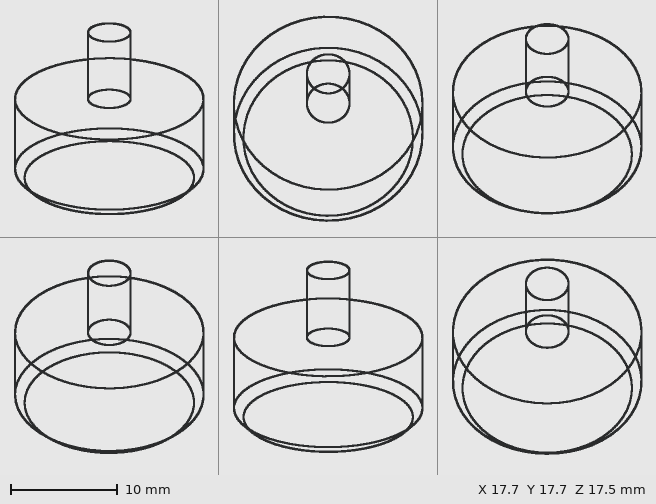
import cadquery as cq

body_diameter = 17.7
pin_diameter = 4.0
total_height = 17.5
pin_height = 6.9
cone_height = 2.4
chamfer_size = 0.9

body_radius = body_diameter / 2
pin_radius = pin_diameter / 2
cone_radius = body_radius - chamfer_size
chamfer_top = cone_height + chamfer_size
body_top = total_height - pin_height


def turned_part():
    """Revolve the half profile, from the cone tip up to the pin end, about Z."""
    return (
        cq.Workplane("XZ")
        .moveTo(0, 0)
        .lineTo(cone_radius, cone_height)
        .lineTo(body_radius, chamfer_top)
        .lineTo(body_radius, body_top)
        .lineTo(pin_radius, body_top)
        .lineTo(pin_radius, total_height)
        .lineTo(0, total_height)
        .close()
        .revolve(360, (0, 0, 0), (0, 1, 0))
    )


result = turned_part()